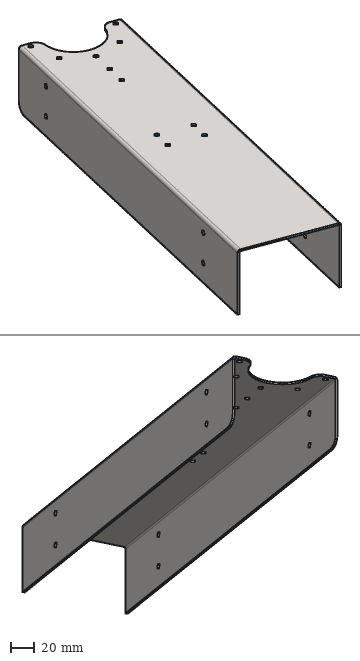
import cadquery as cq

length = 403.0
width = 102.5
height = 65.0
thickness = 2.0
outer_bend_radius = 3.2
inner_bend_radius = outer_bend_radius - thickness
flange_corner_radius = 10.0

notch_center_x = 5.0
notch_radius = 30.0
notch_lip_radius = 10.0

hole_diameter = 4.5
corner_hole_y = 42.0
center_hole_xs = (46.7, 72.0, 94.0)
mount_hole_xs = (192.5, 212.8)
mount_hole_y = 18.0
flange_hole_xs = (50.0, 339.7)
flange_hole_zs = (19.7, 50.0)


def bent_channel():
    """Inverted U channel with rounded bends, running along X."""
    outer = (
        cq.Workplane("XY")
        .box(length, width, height, centered=(False, True, False))
        .edges("|X and >Z")
        .fillet(outer_bend_radius)
    )
    inner = (
        cq.Workplane("XY")
        .box(length, width - 2 * thickness, height - thickness, centered=(False, True, False))
        .edges("|X and >Z")
        .fillet(inner_bend_radius)
    )
    return outer.cut(inner).edges("|Y and <X and <Z").fillet(flange_corner_radius)


def end_notch():
    """Cutter for the round notch, flared by convex lips at the end face."""
    center_gap = notch_radius + notch_lip_radius
    lip_center_y = (center_gap**2 - (notch_lip_radius - notch_center_x) ** 2) ** 0.5
    share = notch_radius / center_gap
    touch_x = notch_center_x + (notch_lip_radius - notch_center_x) * share
    touch_y = lip_center_y * share
    return (
        cq.Workplane("XY")
        .moveTo(0, -lip_center_y)
        .radiusArc((touch_x, -touch_y), notch_lip_radius)
        .threePointArc((notch_center_x + notch_radius, 0), (touch_x, touch_y))
        .radiusArc((0, lip_center_y), notch_lip_radius)
        .close()
        .extrude(height)
    )


def web_holes():
    """Cutter for every hole through the web."""
    points = [(x, 0) for x in center_hole_xs]
    for side in (-1, 1):
        points.append((notch_center_x, side * corner_hole_y))
        points.append((notch_center_x + notch_radius, side * notch_radius))
        points += [(x, side * mount_hole_y) for x in mount_hole_xs]
    return cq.Workplane("XY").pushPoints(points).circle(hole_diameter / 2).extrude(height)


def flange_holes():
    """Cutter for the holes passing through both flanges."""
    points = [(x, z) for x in flange_hole_xs for z in flange_hole_zs]
    return cq.Workplane("XZ").pushPoints(points).circle(hole_diameter / 2).extrude(width, both=True)


result = bent_channel().cut(end_notch()).cut(web_holes()).cut(flange_holes())